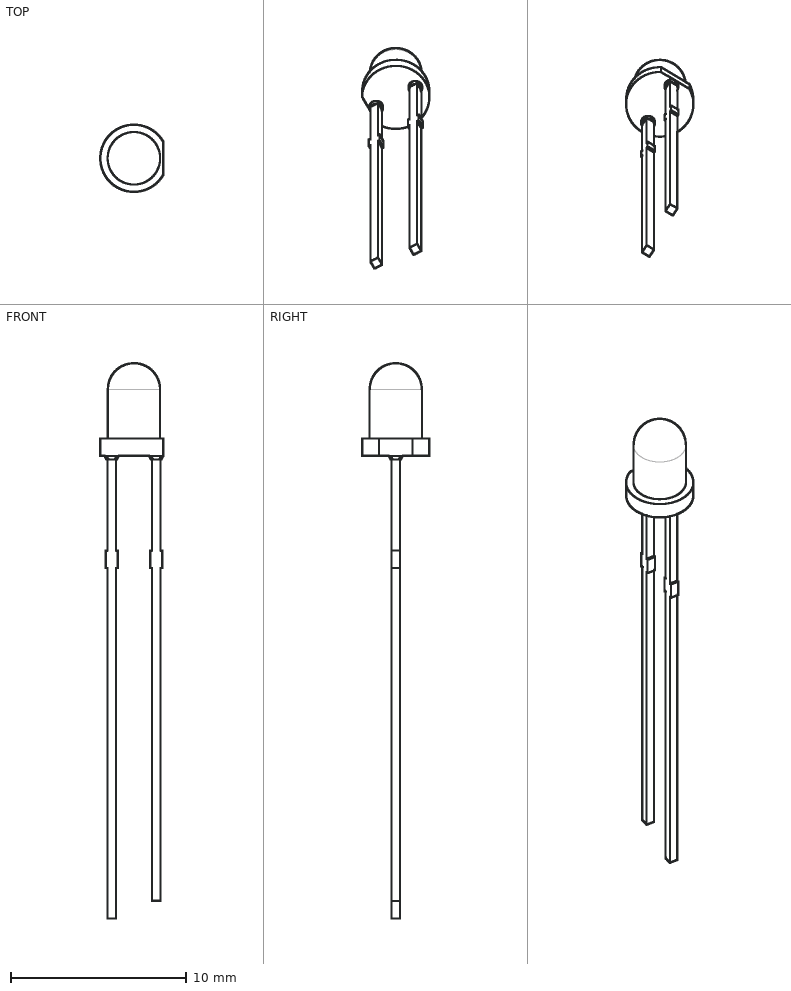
import cadquery as cq
import math

lens_diameter = 3.0
lens_radius = lens_diameter / 2
flange_diameter = 3.85
flange_radius = flange_diameter / 2
flange_height = 1.0
flange_width_across_flat = 3.6
flat_x = flange_width_across_flat - flange_radius
total_height = 31.7
body_height = 5.3

lead_pitch = 2.54
lead_width = 0.5
long_lead_length = total_height - body_height
lead_length_difference = 1.0
short_lead_length = long_lead_length - lead_length_difference

barb_width = 0.7
barb_height = 1.0
barb_top_depth = 5.4

collar_top_diameter = 0.8
collar_bottom_diameter = 0.6
collar_height = 0.2


def hanging_block(x_center, width_x, width_y, top_depth, height):
    """Rectangular block centred on Y = 0 whose top lies top_depth below the flange."""
    return (
        cq.Workplane("XY")
        .box(width_x, width_y, height, centered=(True, True, False))
        .translate((x_center, 0, -top_depth - height))
    )


def make_lens():
    """Barrel ending in a half sphere, turned about the Z axis."""
    dome_base = body_height - lens_radius
    dome_middle = lens_radius * math.sqrt(0.5)
    return (
        cq.Workplane("XZ")
        .lineTo(lens_radius, 0)
        .lineTo(lens_radius, dome_base)
        .threePointArc((dome_middle, dome_base + dome_middle), (0, body_height))
        .close()
        .revolve()
    )


def make_flange():
    """Disc with a flat on its +X side that marks the cathode."""
    disc = cq.Workplane("XY").circle(flange_radius).extrude(flange_height)
    keep = (
        cq.Workplane("XY")
        .box(flange_width_across_flat, flange_diameter, flange_height, centered=(False, True, False))
        .translate((-flange_radius, 0, 0))
    )
    return disc.intersect(keep)


def make_lead(x_center, length):
    wire = hanging_block(x_center, lead_width, lead_width, 0, length)
    barb = hanging_block(x_center, barb_width, lead_width, barb_top_depth, barb_height)
    collar = (
        cq.Workplane("XY")
        .center(x_center, 0)
        .circle(collar_top_diameter / 2)
        .workplane(offset=-collar_height)
        .circle(collar_bottom_diameter / 2)
        .loft(ruled=True)
    )
    return wire.union(barb).union(collar)


long_lead = make_lead(-lead_pitch / 2, long_lead_length)
short_lead = make_lead(lead_pitch / 2, short_lead_length)

result = make_flange().union(make_lens()).union(long_lead).union(short_lead)